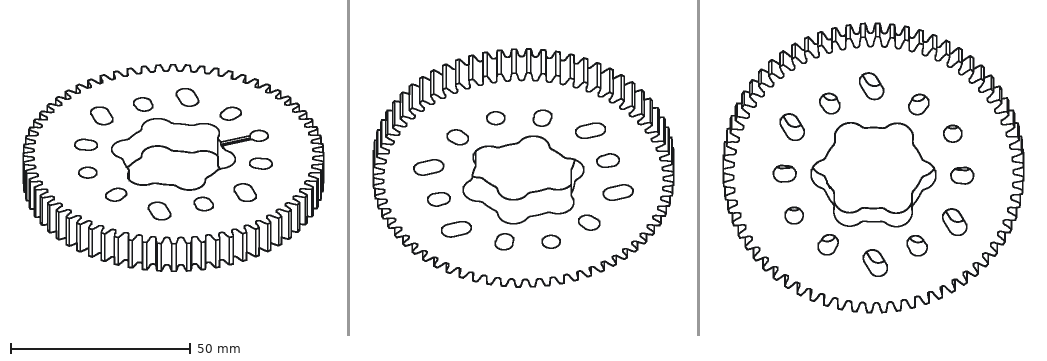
import cadquery as cq
import math

OUTER_SIZE = 83.8
THICKNESS = 9.55

TOOTH_COUNT = 64
PRESSURE_ANGLE = math.radians(14.5)
ADDENDUM = 1.0
ROOT_CLEARANCE = 0.35
TOOTH_THICKNESS_RATIO = 0.96
FLANK_DEPTH = 0.74
FLANK_STEPS = 5

BORE_RADIUS = 14.3
LOBE_COUNT = 6
LOBE_CENTER_RADIUS = 13.0
LOBE_RADIUS = 4.4
LOBE_FILLET = 1.9

HOLE_CIRCLE_RADIUS = 25.4
HOLE_RADIUS = 2.5
INNER_HOLE_CIRCLE_RADIUS = 24.0
INNER_HOLE_RADIUS = 2.35
STRAIGHT_SLOT_ANGLE = 30
TAPERED_SLOT_ANGLES = range(0, 360, 60)

GROOVE_WIDTH = 1.8
GROOVE_DEPTH = 0.8

HALF_PITCH_ANGLE = math.pi / TOOTH_COUNT
BASE_RATIO = math.cos(PRESSURE_ANGLE)
TIP_RATIO = 1 + 2 * ADDENDUM / TOOTH_COUNT
FOOT_RATIO = 1 - 2 * FLANK_DEPTH / TOOTH_COUNT
ROOT_RATIO = 1 - 2 * (ADDENDUM + ROOT_CLEARANCE) / TOOTH_COUNT


def involute(angle):
    return math.tan(angle) - angle


def tooth_half_angle(radius_ratio):
    """Half the angle a tooth spans at a radius given in pitch radii."""
    at_pitch = TOOTH_THICKNESS_RATIO * HALF_PITCH_ANGLE / 2
    local_pressure_angle = math.acos(BASE_RATIO / radius_ratio)
    return at_pitch + involute(PRESSURE_ANGLE) - involute(local_pressure_angle)


TIP_CORNER_ANGLE = HALF_PITCH_ANGLE - tooth_half_angle(TIP_RATIO)
PITCH_RADIUS = OUTER_SIZE / 2 / math.cos(TIP_CORNER_ANGLE) / TIP_RATIO
TIP_RADIUS = PITCH_RADIUS * TIP_RATIO
ROOT_RADIUS = PITCH_RADIUS * ROOT_RATIO


def polar(radius, angle):
    return (radius * math.cos(angle), radius * math.sin(angle))


def flank_points(tooth_angle, side):
    """Involute points from the flank's foot to the tip; side is -1 or +1."""
    points = []
    for step in range(FLANK_STEPS):
        ratio = FOOT_RATIO + (TIP_RATIO - FOOT_RATIO) * step / (FLANK_STEPS - 1)
        points.append(polar(ratio * PITCH_RADIUS, tooth_angle + side * tooth_half_angle(ratio)))
    return points


def gear_blank():
    """Toothed disc; each root is one arc joining the feet of the neighboring flanks."""
    outline = cq.Workplane("XY").moveTo(*flank_points(HALF_PITCH_ANGLE, -1)[0])
    for tooth in range(TOOTH_COUNT):
        tooth_angle = (2 * tooth + 1) * HALF_PITCH_ANGLE
        gap_angle = tooth_angle + HALF_PITCH_ANGLE
        next_tooth_angle = gap_angle + HALF_PITCH_ANGLE
        rising = flank_points(tooth_angle, -1)
        falling = flank_points(tooth_angle, +1)[::-1]
        next_foot = flank_points(next_tooth_angle, -1)[0]
        outline = (
            outline.spline(rising[1:], includeCurrent=True)
            .threePointArc(polar(TIP_RADIUS, tooth_angle), falling[0])
            .spline(falling[1:], includeCurrent=True)
            .threePointArc(polar(ROOT_RADIUS, gap_angle), next_foot)
        )
    return outline.close().extrude(THICKNESS)


def bore():
    lobes = (
        cq.Workplane("XY")
        .polarArray(LOBE_CENTER_RADIUS, 0, 360, LOBE_COUNT)
        .circle(LOBE_RADIUS)
        .extrude(THICKNESS)
    )
    core = cq.Workplane("XY").circle(BORE_RADIUS).extrude(THICKNESS)
    return core.union(lobes).edges("|Z").fillet(LOBE_FILLET)


def round_holes():
    """Plain holes on the Y axis."""
    return (
        cq.Workplane("XY")
        .pushPoints([(0, HOLE_CIRCLE_RADIUS), (0, -HOLE_CIRCLE_RADIUS)])
        .circle(HOLE_RADIUS)
        .extrude(THICKNESS)
    )


def straight_slots():
    """Slots along X, from the hole circle out to the column of the hole on the X axis."""
    inner_x, slot_y = polar(HOLE_CIRCLE_RADIUS, math.radians(STRAIGHT_SLOT_ANGLE))
    outer_x = HOLE_CIRCLE_RADIUS
    center_x = (inner_x + outer_x) / 2
    return (
        cq.Workplane("XY")
        .rarray(2 * center_x, 2 * slot_y, 2, 2)
        .slot2D(outer_x - inner_x + 2 * HOLE_RADIUS, 2 * HOLE_RADIUS)
        .extrude(THICKNESS)
    )


def tapered_slot(angle_degrees):
    """Radial slot around a large outer and a smaller inner hole, with tangent straight sides."""
    spacing = HOLE_CIRCLE_RADIUS - INNER_HOLE_CIRCLE_RADIUS
    tangent_angle = math.acos((INNER_HOLE_RADIUS - HOLE_RADIUS) / spacing)
    tangent_x, tangent_y = polar(1, math.pi - tangent_angle)
    outer_x = HOLE_CIRCLE_RADIUS + HOLE_RADIUS * tangent_x
    inner_x = INNER_HOLE_CIRCLE_RADIUS + INNER_HOLE_RADIUS * tangent_x
    outer_y = HOLE_RADIUS * tangent_y
    inner_y = INNER_HOLE_RADIUS * tangent_y
    return (
        cq.Workplane("XY")
        .moveTo(outer_x, -outer_y)
        .threePointArc((HOLE_CIRCLE_RADIUS + HOLE_RADIUS, 0), (outer_x, outer_y))
        .lineTo(inner_x, inner_y)
        .threePointArc((INNER_HOLE_CIRCLE_RADIUS - INNER_HOLE_RADIUS, 0), (inner_x, -inner_y))
        .close()
        .extrude(THICKNESS)
        .rotate((0, 0, 0), (0, 0, 1), angle_degrees)
    )


def groove():
    return (
        cq.Workplane("XY", origin=(0, HOLE_CIRCLE_RADIUS / 2, THICKNESS - GROOVE_DEPTH))
        .rect(GROOVE_WIDTH, HOLE_CIRCLE_RADIUS)
        .extrude(GROOVE_DEPTH)
    )


result = gear_blank().cut(bore()).cut(round_holes()).cut(straight_slots())
for slot_angle in TAPERED_SLOT_ANGLES:
    result = result.cut(tapered_slot(slot_angle))
result = result.cut(groove())